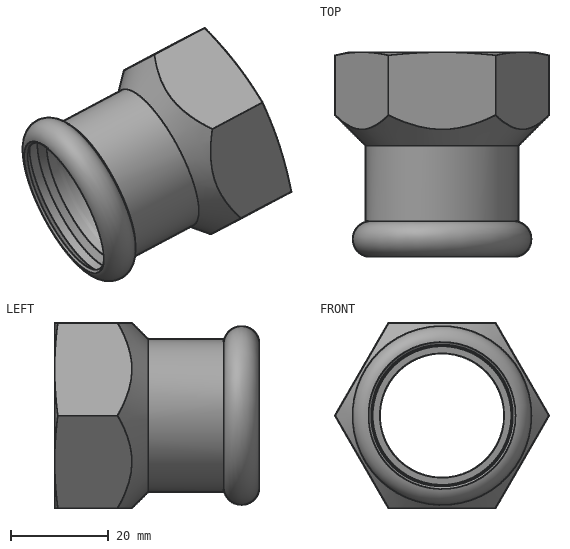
import cadquery as cq
import math

length = 42.0
hex_across_corners = 43.9
hex_across_flats = hex_across_corners * math.cos(math.pi / 6)
back_chamfer_length = 0.65
back_face_inset = 0.15
back_face_radius = hex_across_flats / 2 - back_face_inset

neck_radius = 31.4 / 2
cone_start = 23.0
cone_step = 0.2
cone_step_height = 0.15
cone_step_radius = neck_radius + cone_step_height

bead_radius = 36.7 / 2
bead_width = 7.35
bead_round = bead_width / 2

through_radius = 25.4 / 2
socket_radius = 28.4 / 2
socket_depth = 21.95
guide_radius = 28.8 / 2
guide_end = 6.85
guide_taper = 0.65
mouth_radius = 30.15 / 2
lip_round = 0.53
groove_radius = 15.8
groove_cone_start = 3.7
groove_end = 5.05


def revolve_about_y(profile):
    return profile.close().revolve(360, (0, 0, 0), (0, 1, 0))


def hexagon_end():
    prism = (
        cq.Workplane("XZ", origin=(0, length, 0))
        .polygon(6, hex_across_corners)
        .extrude(length - cone_start)
    )
    corner_radius = hex_across_corners / 2
    cone_end = cone_start + corner_radius - cone_step_radius
    envelope = revolve_about_y(
        cq.Workplane("XY")
        .moveTo(0, cone_start)
        .lineTo(cone_step_radius, cone_start)
        .lineTo(corner_radius, cone_end)
        .lineTo(corner_radius, length - back_chamfer_length)
        .lineTo(back_face_radius, length)
        .lineTo(0, length)
    )
    return prism.intersect(envelope)


def neck_and_bead():
    bead_center = bead_radius - bead_round
    step_start = cone_start - cone_step
    return revolve_about_y(
        cq.Workplane("XY")
        .lineTo(bead_center, 0)
        .threePointArc((bead_radius, bead_round), (bead_center, bead_width))
        .lineTo(neck_radius, bead_width)
        .lineTo(neck_radius, step_start)
        .lineTo(cone_step_radius, cone_start)
        .lineTo(cone_step_radius, cone_start + cone_step)
        .lineTo(0, cone_start + cone_step)
    )


def bore():
    lip_radius = mouth_radius - lip_round
    return revolve_about_y(
        cq.Workplane("XY")
        .lineTo(mouth_radius, 0)
        .radiusArc((lip_radius, lip_round), -lip_round)
        .lineTo(groove_radius, lip_round + groove_radius - lip_radius)
        .lineTo(groove_radius, groove_cone_start)
        .lineTo(guide_radius, groove_end)
        .lineTo(guide_radius, guide_end)
        .lineTo(socket_radius, guide_end + guide_taper)
        .lineTo(socket_radius, socket_depth)
        .lineTo(through_radius, socket_depth)
        .lineTo(through_radius, length)
        .lineTo(0, length)
    )


result = hexagon_end().union(neck_and_bead()).cut(bore())